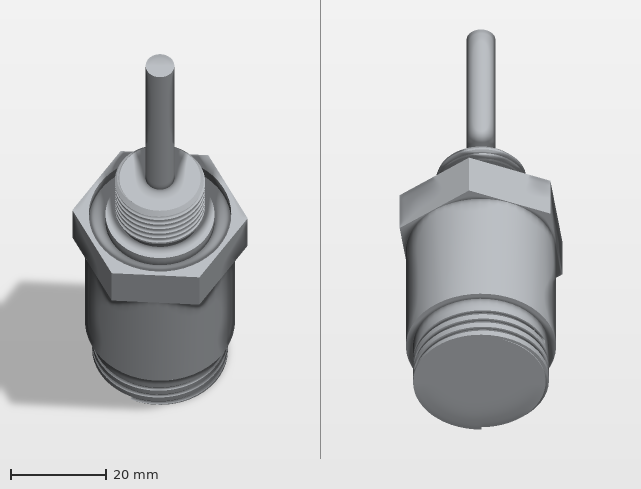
import cadquery as cq
import math

TOTAL_HEIGHT = 100.7
SHOULDER_Z = 10.6
HEX_BOTTOM_Z = 38.5
HEX_TOP_Z = 48.1
SPIGOT_TOP_Z = 60.9

HEX_ACROSS_FLATS = 32.0
HEX_ACROSS_CORNERS = HEX_ACROSS_FLATS / math.cos(math.radians(30))
BARREL_DIAMETER = 31.6
COLLAR_DIAMETER = 28.6

RING_OUTER_DIAMETER = 30.0
RING_INNER_DIAMETER = 23.0
RING_DEPTH = 2.5

COLLAR_PITCH = 2.4
COLLAR_GROOVE_WIDTH = 1.1
COLLAR_GROOVE_DEPTH = 0.7
COLLAR_TURNS = 3.5
COLLAR_GROOVE_END_Z = 6.9
COLLAR_GROOVE_END_ANGLE = 180

NECK_DIAMETER = 17.1
SPIGOT_DIAMETER = 19.0
SPIGOT_BOTTOM_Z = 49.3
SPIGOT_BEVEL = (SPIGOT_DIAMETER - NECK_DIAMETER) / 2
SPIGOT_PITCH = 1.6
SPIGOT_ROOT_DIAMETER = NECK_DIAMETER
SPIGOT_GROOVE_HALF_ANGLE = 30
SPIGOT_GROOVE_START_Z = 48.3
SPIGOT_TURNS = 8

CABLE_DIAMETER = 6.0

OVERCUT = 0.5
SPIGOT_OVERCUT = OVERCUT / 2

BAR_MARGIN = 2.0


def cylinder(diameter, bottom_z, top_z):
    return cq.Workplane("XY", origin=(0, 0, bottom_z)).circle(diameter / 2).extrude(top_z - bottom_z)


def helical_cutter(section, pitch, turns, radius):
    """Sweep a closed (radius, z) section up a right-hand helix that starts on the +X axis at z = 0."""
    helix = cq.Workplane(cq.Wire.makeHelix(pitch, pitch * turns, radius))
    return cq.Workplane("XZ").polyline(section).close().sweep(helix, isFrenet=True)


def make_collar():
    """Bottom collar with a square-section thread that runs out along its tangent."""
    outer_radius = COLLAR_DIAMETER / 2
    floor_radius = outer_radius - COLLAR_GROOVE_DEPTH
    half_width = COLLAR_GROOVE_WIDTH / 2
    section = [
        (floor_radius, -half_width),
        (outer_radius + OVERCUT, -half_width),
        (outer_radius + OVERCUT, half_width),
        (floor_radius, half_width),
    ]
    thread = helical_cutter(section, COLLAR_PITCH, COLLAR_TURNS, outer_radius)
    start_z = COLLAR_GROOVE_END_Z - COLLAR_PITCH * COLLAR_TURNS
    start_angle = COLLAR_GROOVE_END_ANGLE - 360 * COLLAR_TURNS
    thread = thread.rotate((0, 0, 0), (0, 0, 1), start_angle).translate((0, 0, start_z))

    lead_slope = COLLAR_PITCH / (math.pi * COLLAR_DIAMETER)
    run_out_length = 2 * math.sqrt(outer_radius**2 - floor_radius**2)
    tangent = cq.Plane(origin=(0, 0, 0), xDir=(1, 0, 0), normal=(0, 1, lead_slope))
    run_out = (
        cq.Workplane(tangent)
        .polyline([(radius, -z) for radius, z in section])
        .close()
        .extrude(run_out_length)
        .rotate((0, 0, 0), (0, 0, 1), COLLAR_GROOVE_END_ANGLE)
        .translate((0, 0, COLLAR_GROOVE_END_Z))
    )
    return cylinder(COLLAR_DIAMETER, 0, SHOULDER_Z).cut(thread).cut(run_out)


def make_hex_flange():
    """Hexagon with two corners on the X axis and a ring groove in its top face."""
    hexagon = (
        cq.Workplane("XY", origin=(0, 0, HEX_BOTTOM_Z))
        .polygon(6, HEX_ACROSS_CORNERS)
        .extrude(HEX_TOP_Z - HEX_BOTTOM_Z)
    )
    ring = (
        cq.Workplane("XY", origin=(0, 0, HEX_TOP_Z))
        .circle(RING_OUTER_DIAMETER / 2)
        .circle(RING_INNER_DIAMETER / 2)
        .extrude(-RING_DEPTH)
    )
    return hexagon.cut(ring)


def make_spigot():
    """Bevelled spigot with a V thread that runs out through both bevels."""
    outer_radius = SPIGOT_DIAMETER / 2
    root_radius = SPIGOT_ROOT_DIAMETER / 2
    mouth_radius = outer_radius + SPIGOT_OVERCUT
    mouth_half_width = (mouth_radius - root_radius) * math.tan(math.radians(SPIGOT_GROOVE_HALF_ANGLE))
    section = [
        (root_radius, 0),
        (mouth_radius, -mouth_half_width),
        (mouth_radius, mouth_half_width),
    ]
    thread = helical_cutter(section, SPIGOT_PITCH, SPIGOT_TURNS, outer_radius)
    thread = thread.translate((0, 0, SPIGOT_GROOVE_START_Z))
    bar = cylinder(SPIGOT_DIAMETER, SPIGOT_BOTTOM_Z - BAR_MARGIN, SPIGOT_TOP_Z + BAR_MARGIN)
    outline = cylinder(SPIGOT_DIAMETER, SPIGOT_BOTTOM_Z, SPIGOT_TOP_Z).edges().chamfer(SPIGOT_BEVEL)
    return bar.cut(thread).intersect(outline)


def make_housing():
    barrel = cylinder(BARREL_DIAMETER, SHOULDER_Z, HEX_BOTTOM_Z)
    neck = cylinder(NECK_DIAMETER, HEX_TOP_Z, SPIGOT_BOTTOM_Z)
    return make_collar().union(barrel).union(make_hex_flange()).union(neck).union(make_spigot())


def make_cable():
    return cylinder(CABLE_DIAMETER, SPIGOT_TOP_Z, TOTAL_HEIGHT)


housing = make_housing()
cable = make_cable()
result = cq.Compound.makeCompound([housing.val(), cable.val()])